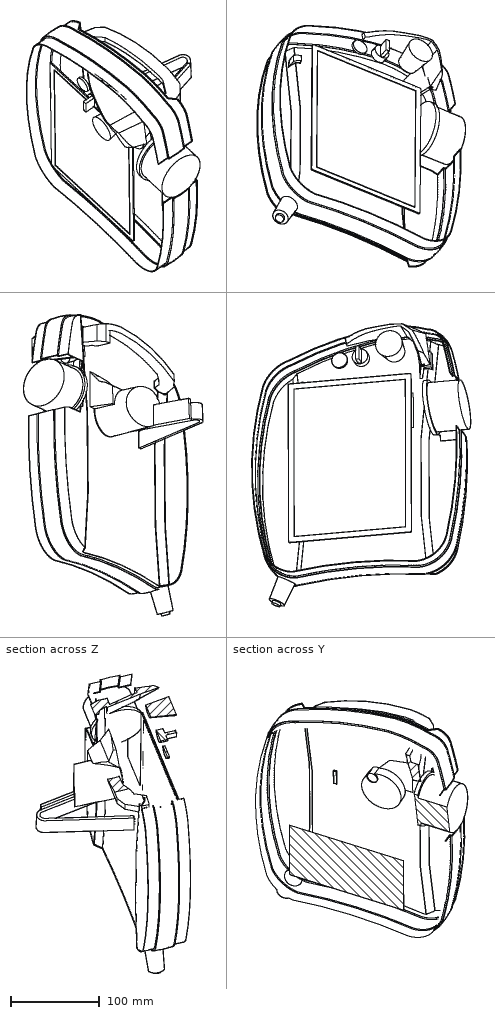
import cadquery as cq
import math


wall = 1.0
tilt_angle = 0.6

back_depth = 8.2
deck_depth = 16.5
step_rear_depth = 21.8
seam_depth = 33.5
step_front_depth = 45.0
rim_depth = 58.7
band_step = 2.8
band_taper = 3.0

deck_centre_x = -1.3
deck_flank = 7.3
deck_half_width = 67.2
deck_waist_top = 33.8
deck_waist_bottom = -60.3
deck_end_z = 189.5
deck_flare = 0.1

control_z = 118.7
control_depth = 59.3
button_diameter = 18.0

knob_diameter = 56.5
knob_depth = 34.7
knob_z = 62.5
knob_slant = 0.1

beyond = 189.5

grip_x = 23.5
grip_z = 46.0


def front_plane(depth):
    """Work plane parallel to X-Z; extrusions from it run toward the front."""
    return cq.Workplane("XZ", origin=(0, -depth, 0))


def outline(depth, inset=0.0):
    """Rounded pendant outline with a concave lower edge, moved inward by `inset`."""
    shape = (
        front_plane(depth)
        .moveTo(-74.0, -133.5)
        .threePointArc((-0.5, -128.5), (70.0, -133.5))
        .threePointArc((98.0, -121.5), (108.5, -102.3))
        .threePointArc((120.5, 6.3), (103.8, 134.5))
        .threePointArc((97.2, 145.2), (84.5, 151.0))
        .threePointArc((62.5, 156.5), (38.5, 158.0))
        .threePointArc((-15.0, 149.3), (-77.0, 128.0))
        .threePointArc((-98.8, 115.2), (-110.0, 97.2))
        .threePointArc((-123.5, -3.8), (-109.2, -106.7))
        .threePointArc((-98.0, -122.8), (-74.0, -133.5))
        .close()
    )
    if inset:
        shape = shape.offset2D(-inset)
    return shape


def slab(rear, front, inset):
    return outline(rear, inset).extrude(front - rear)


def stepped_block(inset, step_inset, rear):
    """Stack of narrow, wide and narrow bands; `step_inset` thins the wide band's ends."""
    rear_taper_height = seam_depth - step_rear_depth - step_inset
    front_taper_height = step_front_depth - seam_depth - step_inset
    front_half = outline(seam_depth, inset).extrude(front_taper_height, taper=band_taper)
    rear_half = outline(seam_depth, inset).extrude(-rear_taper_height, taper=band_taper)
    core = slab(rear, rim_depth, inset + band_step)
    return core.union(front_half).union(rear_half)


def deck_polygon(depth, half_width):
    top = half_width + deck_flare * (deck_end_z - deck_waist_top)
    bottom = half_width + deck_flare * (deck_end_z + deck_waist_bottom)
    right = [
        (top, deck_end_z),
        (half_width, deck_waist_top),
        (half_width, deck_waist_bottom),
        (bottom, -deck_end_z),
    ]
    left = [(-x, z) for x, z in reversed(right)]
    return front_plane(depth).center(deck_centre_x, 0).polyline(right + left).close()


def deck_recess(shift):
    """Waisted rear recess with sloping flanks; `shift` moves it toward the front."""
    wide_half_width = deck_half_width + deck_flank
    wide = deck_polygon(back_depth + shift, wide_half_width).wires().val()
    narrow = deck_polygon(deck_depth + shift, deck_half_width).wires().val()
    recess = cq.Workplane(cq.Solid.makeLoft([wide, narrow], True))
    if shift:
        fill = deck_polygon(0, wide_half_width).extrude(back_depth + shift)
        recess = recess.union(fill)
    return recess


def knob_notch():
    """Flared opening in the right-hand side that clears the knob."""
    floor_depth = 19.0
    clear_x = 132.5
    floor_points = [(81.0, 93.5), (clear_x, 93.5), (clear_x, 31.2), (86.8, 31.2)]
    side_points = [(77.3, 85.2), (clear_x, 100.7), (clear_x, 24.0), (82.0, 39.5)]
    floor_cut = front_plane(0).polyline(floor_points).close().extrude(floor_depth)
    side_cut = front_plane(0).polyline(side_points).close().extrude(2 * rim_depth)
    return floor_cut.union(side_cut)


def envelope():
    """Solid outer shape of the housing."""
    return stepped_block(0.0, 0.0, back_depth).cut(deck_recess(0.0))


def shell():
    """Thin wall left between the envelope and an open-fronted cavity."""
    cavity = stepped_block(wall, wall, back_depth + wall)
    mouth_overrun = 3.0
    mouth = slab(step_front_depth, rim_depth + mouth_overrun, band_step + wall)
    cavity = cavity.union(mouth).cut(deck_recess(wall))
    return envelope().cut(cavity).cut(knob_notch())


def handle():
    """Arched rear handle that follows the top of the outline, deeper at its right root."""
    centre_x = -1.0
    inset = 17.5
    thickness = 7.5
    foot_y = -deck_depth - 4.7
    reach = 31.5
    root_start_x = 58.5
    root_bottom_z = 116.8
    arch = (
        cq.Workplane("XY")
        .moveTo(centre_x - 79.5, foot_y)
        .lineTo(centre_x - 79.5, -9.8)
        .lineTo(centre_x - 74.0, 5.7)
        .lineTo(centre_x - 65.5, 12.3)
        .threePointArc((centre_x, 16.5), (centre_x + 65.5, 12.3))
        .lineTo(centre_x + 74.0, 5.7)
        .lineTo(centre_x + 79.5, -9.8)
        .lineTo(centre_x + 79.5, foot_y)
        .lineTo(centre_x + 69.5, foot_y)
        .lineTo(centre_x + 64.7, -8.0)
        .lineTo(centre_x + 50.5, 0.0)
        .threePointArc((centre_x, 2.0), (centre_x - 50.5, 0.0))
        .lineTo(centre_x - 64.7, -8.0)
        .lineTo(centre_x - 69.5, foot_y)
        .close()
        .extrude(beyond)
    )
    whole = slab(-reach, reach, inset)
    ring = whole.cut(slab(-reach, reach, inset + thickness))
    root_region = (
        cq.Workplane("XY", origin=(root_start_x, 0, root_bottom_z))
        .box(beyond, beyond, beyond, centered=(False, True, False))
    )
    deep_root = whole.intersect(root_region)
    return arch.intersect(ring.union(deep_root))


def strap():
    """Narrow rear loop: two converging legs joined by a round end, the right leg backed by a strip."""
    axis_x = -10.7
    thickness = 3.8
    width = 20.0
    base_z = 25.0
    lift_angle = 2.2
    backing_rise = 4.5
    foot_half = 31.0
    end_half = 8.8
    straight_y = 82.7
    end_y = 90.5

    def loop(reduce):
        return (
            cq.Workplane("XY", origin=(axis_x, 0, base_z))
            .moveTo(-foot_half + reduce, -deck_depth)
            .lineTo(-end_half + reduce, straight_y)
            .threePointArc((0, end_y - reduce), (end_half - reduce, straight_y))
            .lineTo(foot_half - reduce, -deck_depth)
            .close()
            .extrude(width)
        )

    backing = (
        cq.Workplane("XY", origin=(axis_x, 0, base_z))
        .polyline([
            (end_half, straight_y),
            (end_half + thickness, straight_y),
            (foot_half + thickness, -deck_depth),
            (foot_half, -deck_depth),
        ])
        .close()
        .extrude(width + backing_rise)
    )
    band = loop(0.0).cut(loop(thickness)).union(backing)
    return band.rotate((0, 0, 0), (1, 0, 0), lift_angle)


def grip():
    """Round rear grip with a slanted end, carried through the deck."""
    inner_depth = 28.5
    length = 72.5
    draft = 1.0
    radius = 24.5
    barrel = (
        front_plane(inner_depth)
        .center(grip_x, grip_z)
        .circle(radius)
        .extrude(-length, taper=draft)
    )
    trim = (
        cq.Workplane("XY")
        .polyline([(-6.3, 41.7), (12.5, 38.5), (38.0, 30.3), (50.5, 25.2), (50.5, 63.0), (-6.3, 63.0)])
        .close()
        .extrude(beyond)
    )
    return barrel.cut(trim)


def grip_pad():
    """Tapered pad above the grip, bevelled on its left."""
    side = (
        cq.Workplane("YZ")
        .polyline([(-17.0, 90.0), (-5.7, 76.7), (2.5, 73.5), (10.5, 68.8), (10.5, 47.5), (-17.0, 47.5)])
        .close()
        .extrude(beyond)
    )
    plan = (
        cq.Workplane("XY")
        .polyline([(14.5, -17.5), (29.7, 10.7), (50.2, 10.7), (57.0, -17.5)])
        .close()
        .extrude(beyond)
    )
    bevel = (
        front_plane(beyond / 2)
        .polyline([(9.5, 44.2), (14.5, 68.0), (28.5, 85.2), (60.0, 91.5), (60.0, 44.2)])
        .close()
        .extrude(-beyond)
    )
    return side.intersect(plan).intersect(bevel)


def deck_pin():
    """Short pin on the front of the deck, beside the inner end of the grip."""
    diameter = 13.0
    length = 13.3
    return front_plane(deck_depth).center(12.5, 63.0).circle(diameter / 2).extrude(length)


def visor():
    """Curved hood over the emergency stop, narrowing toward its front lip."""
    root = [
        (-11.7, 145.2), (16.7, 152.5), (46.0, 154.3), (68.8, 151.0), (81.0, 143.5), (86.0, 106.5),
        (76.7, 104.5), (67.5, 134.5), (59.5, 141.7), (30.3, 142.5), (15.8, 141.5), (-10.0, 137.3),
    ]
    lip = [
        (-10.5, 145.2), (16.7, 145.5), (46.0, 146.0), (61.2, 145.2), (70.7, 137.3), (80.8, 118.7),
        (78.5, 117.7), (68.8, 135.7), (59.5, 143.0), (30.3, 144.0), (15.8, 144.0), (-10.0, 143.0),
    ]
    root_depth = rim_depth - 3.0
    lip_depth = 90.3
    root_wire = front_plane(root_depth).polyline(root).close().wires().val()
    lip_wire = front_plane(lip_depth).polyline(lip).close().wires().val()
    hood = cq.Workplane(cq.Solid.makeLoft([root_wire, lip_wire], True))
    swell = (
        cq.Workplane("XY")
        .moveTo(-12.5, -53.5)
        .lineTo(-12.5, -59.3)
        .lineTo(-8.0, -61.2)
        .spline([(12.5, -74.0), (38.0, -83.5), (62.8, -88.5), (75.5, -83.0), (85.5, -61.2)],
                includeCurrent=True)
        .lineTo(88.5, -53.5)
        .close()
        .extrude(beyond)
    )
    return hood.intersect(swell)


def visor_web():
    """Slanted web joining the end of the visor to the deck."""
    foot = [(64.7, 105.5), (68.0, 105.5), (68.5, 140.5), (65.3, 140.5)]
    head = [(76.5, 105.5), (80.2, 105.5), (72.5, 140.5), (67.0, 140.5)]
    foot_wire = front_plane(deck_depth + wall / 2).polyline(foot).close().wires().val()
    head_wire = front_plane(rim_depth).polyline(head).close().wires().val()
    return cq.Workplane(cq.Solid.makeLoft([foot_wire, head_wire], True))


def make_housing():
    body = shell()
    for feature in (handle(), strap(), grip(), grip_pad(), deck_pin(), visor(), visor_web()):
        body = body.union(feature)
    return body


def make_display():
    left, right = -78.0, 64.5
    bottom, top = -94.5, 96.5
    border = 6.5
    corner_radius = 1.5
    thickness = 1.5
    recess = 0.5
    width = right - left
    height = top - bottom
    plate = (
        front_plane(rim_depth - thickness)
        .center((left + right) / 2, (bottom + top) / 2)
        .rect(width, height)
        .extrude(thickness)
        .edges("|Y")
        .fillet(corner_radius)
    )
    return (
        plate.faces("<Y")
        .workplane(centerOption="CenterOfBoundBox")
        .rect(width - 2 * border, height - 2 * border)
        .cutBlind(-recess)
    )


def make_button():
    thickness = 2.8
    plane = front_plane(control_depth).center(-17.7, control_z)
    return plane.circle(button_diameter / 2).extrude(thickness)


def make_key_switch():
    barrel_length = 8.5
    blade_width = 4.0
    blade_height = 15.8
    blade_length = 12.5
    plane = front_plane(control_depth).center(7.5, control_z)
    barrel = plane.circle(button_diameter / 2).extrude(barrel_length)
    blade = plane.rect(blade_width, blade_height).extrude(barrel_length + blade_length)
    return barrel.union(blade)


def make_emergency_stop():
    rear_diameter = 23.0
    front_diameter = 31.0
    length = 29.0
    cone = cq.Solid.makeCone(
        rear_diameter / 2,
        front_diameter / 2,
        length,
        pnt=cq.Vector(46.0, -control_depth, 123.0),
        dir=cq.Vector(0, -1, 0),
    )
    return cq.Workplane(cone)


def slanted_disc(diameter, start_x, end_x):
    """Round bar along X whose ends lean by the knob slant; places are those on its axis."""
    margin = 6.3
    bar = (
        cq.Workplane("YZ", origin=(start_x - margin, -knob_depth, knob_z))
        .circle(diameter / 2)
        .extrude(end_x - start_x + 2 * margin)
    )
    lean = diameter * knob_slant
    keep = (
        front_plane(-beyond / 2)
        .polyline([
            (start_x - lean, knob_z + diameter),
            (end_x - lean, knob_z + diameter),
            (end_x + lean, knob_z - diameter),
            (start_x + lean, knob_z - diameter),
        ])
        .close()
        .extrude(beyond)
    )
    return bar.intersect(keep)


def make_knob():
    flange_diameter = 62.2
    flange_start = 80.0
    flange_end = 84.5
    knob_end = 120.5
    flange = slanted_disc(flange_diameter, flange_start, flange_end)
    return flange.union(slanted_disc(knob_diameter, flange_end, knob_end))


def make_gland():
    """Tapered cable gland standing on the lower-left corner, with a cable stub."""
    lean = math.radians(24.0)
    direction = cq.Vector(-math.sin(lean), 0, -math.cos(lean))
    tip = cq.Vector(-99.5, -26.5, -152.8)
    length = 38.0
    stub_length = 3.0
    root_diameter = 22.0
    tip_diameter = 18.5
    stub_diameter = 10.0
    root = tip - direction * length
    body = cq.Workplane(cq.Solid.makeCone(root_diameter / 2, tip_diameter / 2, length, root, direction))
    stub = cq.Workplane(cq.Solid.makeCylinder(stub_diameter / 2, stub_length, tip, direction))
    return body.cut(envelope()).union(stub)


def tilted(body):
    return body.rotate((0, 0, 0), (1, 0, 0), tilt_angle).val()


housing = make_housing()
display = make_display()
button = make_button()
key_switch = make_key_switch()
emergency_stop = make_emergency_stop()
knob = make_knob()
gland = make_gland()

bodies = [housing, display, button, key_switch, emergency_stop, knob, gland]
result = cq.Compound.makeCompound([tilted(body) for body in bodies])